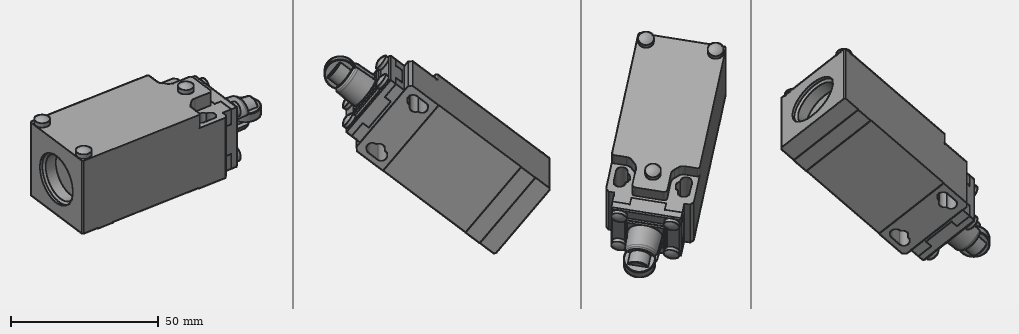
import cadquery as cq
import math


overall_length = 84.6

body_width = 30.3
body_top = 17.4
body_bottom = -12.1
body_back = -overall_length / 2
body_shoulder = 18.7
shoulder_chamfer = 1.1
back_chamfer = 0.5

foot_height = 0.25
foot_spans = [(6.3, body_shoulder), (-35.7, -29.5)]

head_size = 24.1
head_half = head_size / 2
neck_end = 22.3

tongue_width = 12.0
tongue_end = 19.7

pocket_end = 7.3
boss_fillet = 1.0
pocket_arc_radius = 2.8
pocket_arc_run = 1.3
pocket_rim_fillet = 0.7

mount_y = 12.2
mount_slot_x = 11.1
mount_slot_width = 4.1
mount_slot_length = 7.95
mount_hole_x = 9.9

entry_z = 2.1
entry_radius = 8.55
entry_depth = 6.0
entry_mouth_radius = 9.5
entry_mouth_depth = 1.0
entry_cone_depth = 0.8

screw_radius = 2.7
screw_dome = 0.9
cover_screw_side = 1.8
cover_screw_x = 12.0
cover_screw_top_y = 12.0
cover_screw_edge = 2.8
cover_screw_positions = [
    (0, cover_screw_top_y),
    (-cover_screw_x, body_back + cover_screw_edge),
    (cover_screw_x, body_back + cover_screw_edge),
]
head_screw_side = 1.35
head_screw_offset = 9.05

plate_top = 25.1
plate_chamfer = 0.5
pad_top = 26.2
pad_tiers = 2
pad_slope_run = 0.4
pad_ledge = 0.25
sleeve_top = 35.0
sleeve_base_radius = 6.3
sleeve_top_radius = 5.9
rim_chamfer = 0.6
rim_round = 0.8
rim_round_inset = 0.25

plunger_radius = 4.1
plunger_tip = 39.85
plunger_chamfer = 0.25
fork_width = 3.9
fork_bottom = 30.7
roller_radius = 5.4
roller_width = 3.55
roller_chamfer = 0.25
roller_y = overall_length / 2 - roller_radius


def box(x_span, y_span, z_span):
    """Box between the given lower and upper limits."""
    (x0, x1), (y0, y1), (z0, z1) = x_span, y_span, z_span
    return cq.Workplane("XY").box(x1 - x0, y1 - y0, z1 - z0, centered=False).translate((x0, y0, z0))


def y_cylinder(radius, y_start, y_end):
    """Cylinder on the plunger axis."""
    return cq.Workplane("XZ", origin=(0, y_start, 0)).circle(radius).extrude(y_start - y_end)


def screw_head(side):
    """Round screw head with a domed top, standing on Z = 0 along +Z."""
    dome_radius = (screw_radius**2 + screw_dome**2) / (2 * screw_dome)
    dome_center = side + screw_dome - dome_radius
    half_angle = math.asin(screw_radius / dome_radius) / 2
    dome_mid = (dome_radius * math.sin(half_angle), dome_center + dome_radius * math.cos(half_angle))
    return (
        cq.Workplane("XZ")
        .lineTo(screw_radius, 0)
        .lineTo(screw_radius, side)
        .threePointArc(dome_mid, (0, side + screw_dome))
        .close()
        .revolve(360, (0, 0), (0, 1))
    )


def head_tongues():
    """Crossed bars under the head plate that key into the neck."""
    full = (-head_half, head_half)
    middle = (-tongue_width / 2, tongue_width / 2)
    depth = (tongue_end, neck_end)
    return box(full, depth, middle).union(box(middle, depth, full))


def mounting_pocket():
    """Open corner on the +X side of the cover face, with its rounded boss and rim corners."""
    inner = tongue_width / 2
    side = body_width / 2
    outside = side + pocket_rim_fillet

    bulge_long = pocket_arc_radius * math.sin(math.pi / 4)
    bulge_short = pocket_arc_radius - bulge_long
    mid_long = pocket_arc_radius * math.sin(math.pi / 8)
    mid_short = pocket_arc_radius * (1 - math.cos(math.pi / 8))
    corner = bulge_long + bulge_short + pocket_arc_run
    rim_mid = pocket_rim_fillet * (1 - math.sqrt(0.5))
    boss_mid = boss_fillet * (1 - math.sqrt(0.5))
    return (
        cq.Workplane("XY", origin=(0, 0, head_half))
        .moveTo(inner, body_shoulder - boss_fillet)
        .lineTo(inner, pocket_end + corner)
        .threePointArc(
            (inner + mid_short, pocket_end + corner - mid_long),
            (inner + bulge_short, pocket_end + corner - bulge_long),
        )
        .line(pocket_arc_run, -pocket_arc_run)
        .threePointArc(
            (inner + corner - mid_long, pocket_end + mid_short),
            (inner + corner, pocket_end),
        )
        .lineTo(side - pocket_rim_fillet, pocket_end)
        .threePointArc((side - rim_mid, pocket_end - rim_mid), (side, pocket_end - pocket_rim_fillet))
        .lineTo(outside, pocket_end - pocket_rim_fillet)
        .lineTo(outside, body_shoulder)
        .lineTo(inner - boss_fillet, body_shoulder)
        .threePointArc(
            (inner - boss_mid, body_shoulder - boss_mid), (inner, body_shoulder - boss_fillet)
        )
        .close()
        .extrude(body_top - head_half)
    )


def cable_entry():
    """Stepped round cavity that narrows through a cone behind its mouth."""
    mouth_end = body_back + entry_mouth_depth
    return (
        cq.Workplane("XY", origin=(0, 0, entry_z))
        .moveTo(0, body_back)
        .lineTo(entry_mouth_radius, body_back)
        .lineTo(entry_mouth_radius, mouth_end)
        .lineTo(entry_radius, mouth_end + entry_cone_depth)
        .lineTo(entry_radius, body_back + entry_depth)
        .lineTo(0, body_back + entry_depth)
        .close()
        .revolve(360, (0, 0), (0, 1))
    )


def mounting_hole():
    """Oblong through slot on the +X side, widened by a round hole."""
    through = body_top - body_bottom + 2 * foot_height
    start = cq.Workplane("XY", origin=(0, 0, body_bottom - 2 * foot_height))
    slot = start.center(mount_slot_x, mount_y).slot2D(mount_slot_length, mount_slot_width, 90).extrude(through)
    hole = start.center(mount_hole_x, mount_y).circle(mount_slot_width / 2).extrude(through)
    return slot.union(hole)


def make_housing():
    x_span = (-body_width / 2, body_width / 2)
    bottom = body_bottom - foot_height
    housing = box(x_span, (body_back, body_shoulder), (bottom, body_top))
    housing = housing.edges("|Z and >Y").chamfer(shoulder_chamfer)
    housing = housing.edges("|Z and <Y").chamfer(back_chamfer)

    (front_foot_start, _), (rear_foot_start, rear_foot_end) = foot_spans
    for y_span in [(body_back, rear_foot_start), (rear_foot_end, front_foot_start)]:
        housing = housing.cut(box(x_span, y_span, (bottom, body_bottom)))

    head_span = (-head_half, head_half)
    housing = housing.union(box(head_span, (body_shoulder, neck_end), head_span))
    housing = housing.cut(head_tongues())

    for cutter in [mounting_pocket(), mounting_hole()]:
        housing = housing.cut(cutter).cut(cutter.mirror("YZ"))

    housing = housing.cut(cable_entry())

    for x, y in cover_screw_positions:
        housing = housing.union(screw_head(cover_screw_side).translate((x, y, body_top)))
    return housing


def stepped_pad():
    """Square pad between plate and sleeve, stacked from tiers with sloping sides."""
    tier_height = (pad_top - plate_top) / pad_tiers
    top_size = 2 * sleeve_base_radius
    pad = cq.Workplane("XZ")
    for tier in range(pad_tiers):
        base_size = top_size + 2 * pad_slope_run
        frustum = (
            cq.Workplane("XZ", origin=(0, pad_top - (tier + 1) * tier_height, 0))
            .rect(base_size, base_size)
            .workplane(offset=-tier_height)
            .rect(top_size, top_size)
            .loft()
        )
        pad = pad.add(frustum)
        top_size = base_size + 2 * pad_ledge
    return pad.combine()


def slotted_sleeve():
    """Tapered sleeve with a rounded rim, bored for the plunger and slotted for the roller."""
    chamfer_start = sleeve_top - rim_chamfer
    rim_start = chamfer_start - rim_round
    rim_radius = sleeve_top_radius - rim_round_inset
    sleeve = (
        cq.Workplane("XY")
        .moveTo(0, pad_top)
        .lineTo(sleeve_base_radius, pad_top)
        .lineTo(sleeve_top_radius, rim_start)
        .tangentArcPoint((rim_radius, chamfer_start), relative=False)
        .lineTo(rim_radius - rim_chamfer, sleeve_top)
        .lineTo(0, sleeve_top)
        .close()
        .revolve(360, (0, 0), (0, 1))
    )
    slot_x = (-sleeve_base_radius, sleeve_base_radius)
    slot = box(slot_x, (pad_top, sleeve_top), (-fork_width / 2, fork_width / 2))
    bore = y_cylinder(plunger_radius, pad_top, sleeve_top)
    return sleeve.cut(slot).cut(bore)


def make_head():
    head_span = (-head_half, head_half)
    head = box(head_span, (neck_end, plate_top), head_span).faces(">Y").chamfer(plate_chamfer)
    for part in [head_tongues(), stepped_pad(), slotted_sleeve()]:
        head = head.union(part)

    screw = screw_head(head_screw_side).rotate((0, 0, 0), (1, 0, 0), -90)
    for x in (-head_screw_offset, head_screw_offset):
        for z in (-head_screw_offset, head_screw_offset):
            head = head.union(screw.translate((x, plate_top, z)))
    return head


def make_plunger():
    plunger = y_cylinder(plunger_radius, pad_top, plunger_tip).faces(">Y").chamfer(plunger_chamfer)
    slot_x = (-plunger_radius, plunger_radius)
    return plunger.cut(box(slot_x, (fork_bottom, plunger_tip), (-fork_width / 2, fork_width / 2)))


def make_roller():
    return (
        cq.Workplane("XY", origin=(0, roller_y, -roller_width / 2))
        .circle(roller_radius)
        .extrude(roller_width)
        .edges()
        .chamfer(roller_chamfer)
    )


housing = make_housing()
head = make_head()
plunger = make_plunger()
roller = make_roller()

result = cq.Compound.makeCompound([
    housing.solids().val(),
    head.solids().val(),
    plunger.solids().val(),
    roller.solids().val(),
])